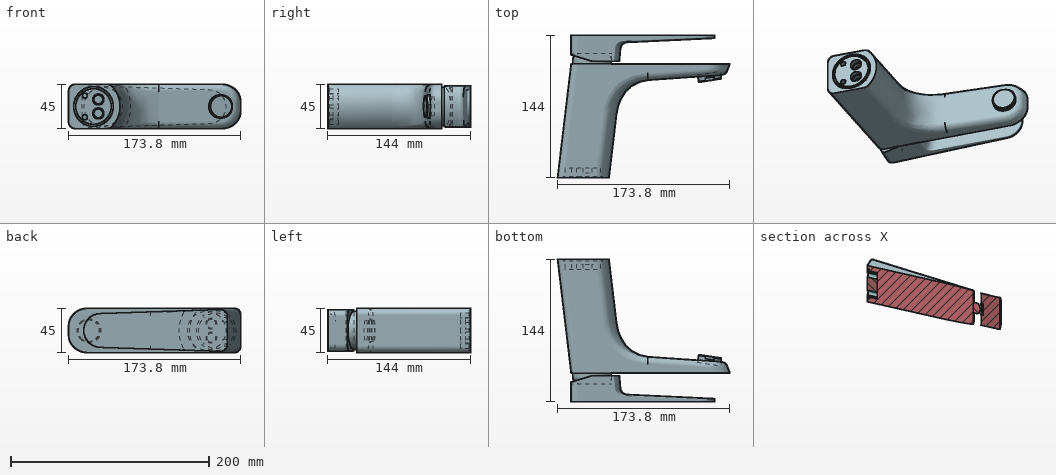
import cadquery as cq
import math

LEAN = 6.8
SPOUT_SLOPE = 4.0
LEVER_SLOPE = 2.8
LEVER_LEAN = 5.0

BODY_WIDTH = 45.0
BODY_HEIGHT = 115.0
COLUMN_DEPTH = 52.0
COLUMN_CROWN = 5.5
COLUMN_FRONT_ROUND = 8.0
REAR_ROUND = 7.0
RIM_ROUND = 0.5
BEND_X = 91.1
BEND_Y = 64.7
BEND_BULGE = 1.0
SPOUT_UNDERSIDE_Y = 98.5
SPOUT_ROUND = 7.0
SPOUT_REACH = 174.0
SPOUT_TIP_SLOPE = 22.0
SPOUT_CORNER_ROUND = 18.0

LEVER_WIDTH = 42.6
LEVER_TIP_WIDTH = 33.0
LEVER_REAR_X = 13.5
LEVER_BOTTOM = 117.5
LEVER_TOP = 144.0
LEVER_TIP_X = 158.5
LEVER_FRONT_X = 62.6
LEVER_CROWN = 6.5
LEVER_EDGE_ROUND = 0.7
LEVER_BEND_X = 69.5
LEVER_BEND_Y = 131.0
ARM_CROWN = 1.4
ARM_UNDERSIDE_Y = 136.3
LEVER_TIP_ROUND = 17.0
BEVEL_END_X = 35.0
BEVEL_ANGLE = 17.0

COLLAR_DIAMETER = 39.0
COLLAR_X = 34.8
COLLAR_HEIGHT = 10.8
COLLAR_DOME_ROUND = 7.0

PLUG_DIAMETER = 35.8
PLUG_X = 25.2
PLUG_THICKNESS = 10.5
GROOVE_DIAMETER = 40.0
GROOVE_DEPTH = 1.7
SCREW_HOLE_DIAMETER = 5.0
SCREW_HOLE_X = 16.5
SCREW_HOLE_SPACING = 21.9
HOSE_HOLE_X = 30.0
HOSE_HOLE_SPACING = 14.0
HOSE_BORE_DIAMETER = 9.0
HOSE_RECESS_DIAMETER = 11.1
HOSE_RECESS_DEPTH = 5.2

AERATOR_DIAMETER = 23.5
AERATOR_X = 153.9
AERATOR_OUTLET_Y = 98.0
AERATOR_TILT = 8.8
AERATOR_LENGTH = 7.8
AERATOR_CHAMFER = 0.9
FLAT_SPACING = 21.5
FLAT_HEIGHT = 3.1

BEND_STEPS = 6


def slope(angle):
    return math.tan(math.radians(angle))


def direction(angle_from_x, length):
    """Vector of the given length in the XY plane."""
    turn = math.radians(angle_from_x)
    return cq.Vector(length * math.cos(turn), length * math.sin(turn), 0)


def down_along(lean, height):
    """Vector that drops by the height along a line leaning from the Y axis."""
    return cq.Vector(-height * slope(lean), -height, 0)


def prism(points, width):
    """Outline in the XY plane extruded evenly to both sides of Z = 0."""
    return cq.Workplane("XY").polyline(points).close().extrude(width / 2, both=True)


def y_cylinder(diameter, x, z, y_start, length):
    """Cylinder that rises along +Y."""
    base = cq.Vector(x, y_start, z)
    return cq.Workplane(cq.Solid.makeCylinder(diameter / 2, length, base, cq.Vector(0, 1, 0)))


def limb_section(pivot, turn, front_radius, crown, corner, width, back_radius):
    """Closed section in a plane through the pivot's Z line, `turn` degrees up from the -X direction.

    The front runs across the width as a crowned arc between two tangent rounded corners.
    Radii are distances from the pivot, and the front faces it.
    """
    half = width / 2
    outward = direction(180 - turn, 1)

    def at(radius, z):
        return pivot + outward * radius + cq.Vector(0, 0, z)

    flat_radius = front_radius + corner + crown
    corner_z = half - corner
    if crown > 0:
        rise = crown + corner
        crown_radius = (rise**2 + corner_z**2 - corner**2) / (2 * crown)
        seam_turn = math.asin(corner_z / (crown_radius - corner))
    else:
        seam_turn = 0

    def on_corner(angle, side):
        return at(flat_radius - corner * math.cos(angle), side * (corner_z + corner * math.sin(angle)))

    def corner_arc(side):
        middle = (seam_turn + math.pi / 2) / 2
        flank = at(flat_radius, side * half)
        return cq.Edge.makeThreePointArc(flank, on_corner(middle, side), on_corner(seam_turn, side))

    seam_up = on_corner(seam_turn, 1)
    seam_down = on_corner(seam_turn, -1)
    if crown > 0:
        front = cq.Edge.makeThreePointArc(seam_up, at(front_radius, 0), seam_down)
    else:
        front = cq.Edge.makeLine(seam_up, seam_down)
    back_up = at(back_radius, half)
    back_down = at(back_radius, -half)
    front_edges = [corner_arc(1), front, corner_arc(-1)] if corner > 0 else [front]
    edges = [
        cq.Edge.makeLine(back_up, at(flat_radius, half)),
        *front_edges,
        cq.Edge.makeLine(at(flat_radius, -half), back_down),
        cq.Edge.makeLine(back_down, back_up),
    ]
    return cq.Wire.assembleEdges(edges)


def blend(start, end, start_slope, end_slope, t):
    """Cubic from start to end, with the given slopes at t = 0 and t = 1."""
    return (
        start * (1 + 2 * t) * (1 - t) ** 2
        + start_slope * t * (1 - t) ** 2
        + end * (3 - 2 * t) * t**2
        - end_slope * (1 - t) * t**2
    )


def bend_sections(pivot, start, end, start_lean, end_slope, bulge, width, back_radius):
    """Sections through a quarter bend; start and end are (front radius, crown, corner).

    The bulge moves the flanks outward halfway round the bend.
    """

    def radius_at(start_radius, end_radius, t):
        start_rate = -start_radius * slope(start_lean) * math.pi / 2
        end_rate = end_radius * slope(end_slope) * math.pi / 2
        return blend(start_radius, end_radius, start_rate, end_rate, t)

    sections = []
    for step in range(BEND_STEPS + 1):
        t = step / BEND_STEPS
        front = radius_at(start[0], end[0], t)
        flat = radius_at(sum(start), sum(end), t) + bulge * (4 * t * (1 - t)) ** 2
        corner = start[2] + (end[2] - start[2]) * t
        crown = flat - front - corner
        if step == BEND_STEPS:
            crown = end[1]
        sections.append(limb_section(pivot, 90 * t, front, crown, corner, width, back_radius))
    return sections


def extruded(section, vector):
    return cq.Workplane(cq.Solid.extrudeLinear(section, [], vector))


def lofted(sections):
    return cq.Workplane(cq.Solid.makeLoft(sections))


def make_trunk():
    """Column and bend, up to the plane where the spout starts."""
    blank = prism(
        [(0, 0), (BODY_HEIGHT * slope(LEAN), BODY_HEIGHT), (BEND_X, BODY_HEIGHT), (BEND_X, 0)], BODY_WIDTH
    )
    blank = blank.faces("<X").edges("#Z").fillet(REAR_ROUND)
    pivot = cq.Vector(BEND_X, BEND_Y, 0)
    column_front = BEND_X - COLUMN_DEPTH - BEND_Y * slope(LEAN)
    sections = bend_sections(
        pivot,
        (column_front, COLUMN_CROWN, COLUMN_FRONT_ROUND),
        (SPOUT_UNDERSIDE_Y - BEND_Y, 0, SPOUT_ROUND),
        LEAN,
        SPOUT_SLOPE,
        BEND_BULGE,
        BODY_WIDTH,
        BODY_HEIGHT,
    )
    column = extruded(sections[0], down_along(LEAN, BEND_Y))
    return blank.intersect(column.union(lofted(sections)))


def make_spout():
    """Tapering spout with a rounded, sloping tip."""
    reach = SPOUT_REACH - BEND_X
    rise = slope(SPOUT_SLOPE)
    drop = (BODY_HEIGHT - SPOUT_UNDERSIDE_Y - reach * rise) / (1 - rise * slope(SPOUT_TIP_SLOPE))
    spout = prism(
        [
            (BEND_X, SPOUT_UNDERSIDE_Y),
            (BEND_X, BODY_HEIGHT),
            (SPOUT_REACH, BODY_HEIGHT),
            (SPOUT_REACH - drop * slope(SPOUT_TIP_SLOPE), BODY_HEIGHT - drop),
        ],
        BODY_WIDTH,
    )
    spout = spout.faces(">X").edges("#Z").fillet(SPOUT_CORNER_ROUND)
    return spout.faces("<Y").edges("not <X").fillet(SPOUT_ROUND)


def make_body():
    body = make_trunk().union(make_spout())
    body = body.faces(">Y").edges().fillet(RIM_ROUND)
    groove = y_cylinder(GROOVE_DIAMETER, PLUG_X, 0, 0, GROOVE_DEPTH)
    plug_pocket = y_cylinder(PLUG_DIAMETER, PLUG_X, 0, 0, PLUG_THICKNESS)
    return body.cut(groove).cut(plug_pocket).cut(make_aerator_blank())


def make_aerator_blank():
    outlet = cq.Vector(AERATOR_X, AERATOR_OUTLET_Y, 0)
    axis = direction(90 + AERATOR_TILT, 1)
    return cq.Workplane(cq.Solid.makeCylinder(AERATOR_DIAMETER / 2, AERATOR_LENGTH, outlet, axis))


def make_aerator():
    """Tilted outlet disc with two wrench flats."""
    aerator = make_aerator_blank().faces("<Y").edges().chamfer(AERATOR_CHAMFER)
    for side in (1, -1):
        flat = cq.Workplane("XY").box(AERATOR_DIAMETER, 2 * FLAT_HEIGHT, AERATOR_DIAMETER)
        flat = flat.translate((0, 0, side * (FLAT_SPACING + AERATOR_DIAMETER) / 2))
        flat = flat.rotate((0, 0, 0), (0, 0, 1), AERATOR_TILT).translate((AERATOR_X, AERATOR_OUTLET_Y, 0))
        aerator = aerator.cut(flat)
    return aerator


def make_plug():
    plug = y_cylinder(PLUG_DIAMETER, PLUG_X, 0, 0, PLUG_THICKNESS)
    for side in (1, -1):
        screw_z = side * SCREW_HOLE_SPACING / 2
        hose_z = side * HOSE_HOLE_SPACING / 2
        plug = plug.cut(y_cylinder(SCREW_HOLE_DIAMETER, SCREW_HOLE_X, screw_z, 0, PLUG_THICKNESS))
        plug = plug.cut(y_cylinder(HOSE_BORE_DIAMETER, HOSE_HOLE_X, hose_z, 0, PLUG_THICKNESS))
        plug = plug.cut(y_cylinder(HOSE_RECESS_DIAMETER, HOSE_HOLE_X, hose_z, 0, HOSE_RECESS_DEPTH))
    return plug


def make_collar():
    collar = y_cylinder(COLLAR_DIAMETER, COLLAR_X, 0, BODY_HEIGHT, COLLAR_HEIGHT)
    return collar.faces(">Y").edges().fillet(COLLAR_DOME_ROUND)


def make_lever_plan():
    """Tapering outline of the lever, with a rounded rear and tip, as a tall solid."""
    rear_half = LEVER_WIDTH / 2
    tip_half = LEVER_TIP_WIDTH / 2
    plan = (
        cq.Workplane("XZ")
        .polyline(
            [
                (LEVER_REAR_X, -rear_half),
                (LEVER_TIP_X, -tip_half),
                (LEVER_TIP_X, tip_half),
                (LEVER_REAR_X, rear_half),
            ]
        )
        .close()
        .extrude(-LEVER_TOP)
    )
    return plan.edges("|Y and <X").fillet(REAR_ROUND).edges("|Y and >X").fillet(LEVER_TIP_ROUND)


def make_lever():
    """Handle hub with a bevelled underside, bending into a thin arm."""
    bevel_rise = (BEVEL_END_X - LEVER_REAR_X) * slope(BEVEL_ANGLE)
    blank = prism(
        [
            (LEVER_REAR_X, LEVER_BOTTOM + bevel_rise),
            (LEVER_REAR_X, LEVER_TOP),
            (LEVER_TIP_X, LEVER_TOP),
            (LEVER_TIP_X, LEVER_BOTTOM),
            (BEVEL_END_X, LEVER_BOTTOM),
        ],
        LEVER_WIDTH,
    )
    blank = blank.intersect(make_lever_plan())
    pivot = cq.Vector(LEVER_BEND_X, LEVER_BEND_Y, 0)
    hub_height = LEVER_BEND_Y - LEVER_BOTTOM
    hub_front = LEVER_BEND_X - LEVER_FRONT_X - hub_height * slope(LEVER_LEAN)
    sections = bend_sections(
        pivot,
        (hub_front, LEVER_CROWN, 0),
        (ARM_UNDERSIDE_Y - LEVER_BEND_Y, ARM_CROWN, 0),
        LEVER_LEAN,
        LEVER_SLOPE,
        0,
        LEVER_WIDTH,
        LEVER_BEND_X,
    )
    hub = extruded(sections[0], down_along(LEVER_LEAN, hub_height))
    arm = extruded(sections[-1], direction(LEVER_SLOPE, LEVER_TIP_X))
    lever = blank.intersect(hub.union(lofted(sections)).union(arm))
    lever = lever.faces(">Y").edges().fillet(RIM_ROUND)
    underside = cq.selectors.BoxSelector(
        (BEVEL_END_X, LEVER_BOTTOM + RIM_ROUND, LEVER_EDGE_ROUND),
        (LEVER_TIP_X, LEVER_TOP - RIM_ROUND, LEVER_WIDTH),
    )
    lever = lever.edges(underside).edges("not |Y").fillet(LEVER_EDGE_ROUND)
    return lever.cut(y_cylinder(COLLAR_DIAMETER, COLLAR_X, 0, BODY_HEIGHT, COLLAR_HEIGHT))


plug = make_plug()
aerator = make_aerator()
collar = make_collar()
body = make_body()
lever = make_lever()

result = cq.Compound.makeCompound([body.val(), plug.val(), aerator.val(), collar.val(), lever.val()])